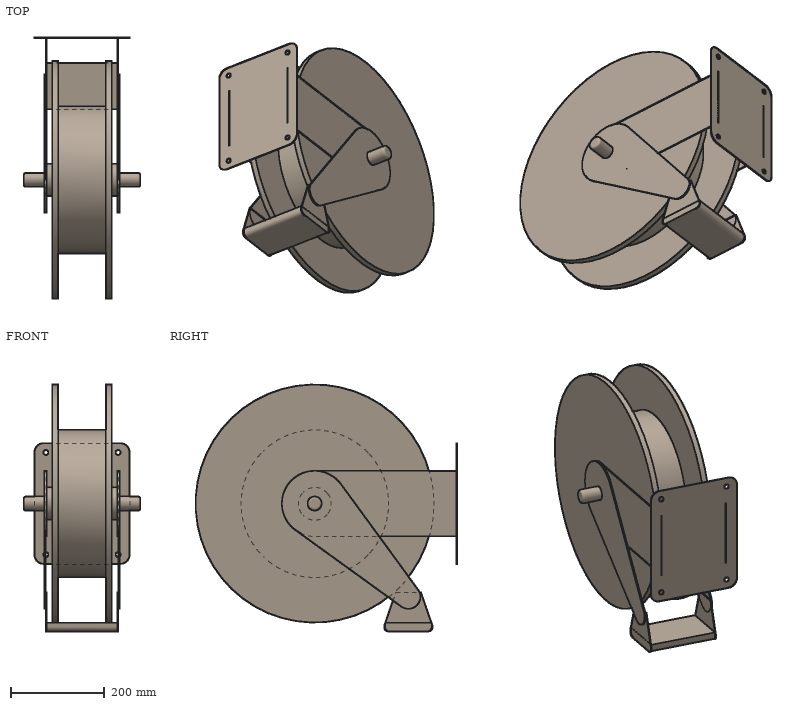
import cadquery as cq
import math

disc_diameter = 510.0
disc_thickness = 13.0
drum_diameter = 316.0
drum_width = 102.5
hub_diameter = 70.0

axle_diameter = 30.0
axle_length = 250.0
axle_end_radius = 5.0

sheet = 2.0
bracket_outer_x = 77.5
bracket_radius = 70.0

overall_depth = 560.5
plate_width = 204.0
plate_height = 259.0
plate_corner_radius = 20.0
hole_diameter = 10.0
hole_spacing_x = 154.5
hole_spacing_z = 218.5

arm_thickness = 3.0
arm_big_radius = bracket_radius
arm_small_radius = 26.0
arm_end_y = 200.5
arm_end_z = -199.5

overall_height = 529.0
foot_top_z = -189.5
foot_top_width = 54.0
foot_bottom_width = 112.0
foot_corner_radius = 10.0
foot_bar_depth = 100.0
foot_bar_height = 19.0

disc_radius = disc_diameter / 2
plate_back_y = overall_depth - disc_radius
plate_front_y = plate_back_y - sheet
foot_bottom_z = disc_radius - overall_height
bracket_inner_x = bracket_outer_x - sheet


def yz_plane(x):
    """Workplane at x whose local axes are Y and Z, extruding toward +X."""
    return cq.Workplane("YZ", origin=(x, 0, 0))


def centred_cylinder(diameter, length):
    return yz_plane(-length / 2).circle(diameter / 2).extrude(length)


def mirrored_pair(body):
    return body.union(body.mirror("YZ"))


def make_reel():
    disc = yz_plane(drum_width / 2).circle(disc_radius).extrude(disc_thickness)
    drum = centred_cylinder(drum_diameter, drum_width)
    hub = centred_cylinder(hub_diameter, 2 * bracket_inner_x)
    return drum.union(mirrored_pair(disc)).union(hub)


def make_axle():
    return centred_cylinder(axle_diameter, axle_length).faces("<X or >X").edges().fillet(axle_end_radius)


def make_wall_plate():
    plate = (
        cq.Workplane("XZ", origin=(0, plate_back_y, 0))
        .rect(plate_width, plate_height)
        .extrude(sheet)
        .edges("|Y")
        .fillet(plate_corner_radius)
    )
    return (
        plate.faces("<Y")
        .workplane(origin=(0, plate_front_y, 0))
        .rect(hole_spacing_x, hole_spacing_z, forConstruction=True)
        .vertices()
        .hole(hole_diameter)
    )


def make_bracket():
    return (
        yz_plane(bracket_inner_x)
        .moveTo(plate_front_y, bracket_radius)
        .lineTo(0, bracket_radius)
        .threePointArc((-bracket_radius, 0), (0, -bracket_radius))
        .lineTo(plate_front_y, -bracket_radius)
        .close()
        .extrude(sheet)
    )


def make_arm():
    """Outline of two arcs joined by their common outer tangents."""
    length = math.hypot(arm_end_y, arm_end_z)
    direction = math.atan2(arm_end_z, arm_end_y)
    tangent_angle = math.acos((arm_big_radius - arm_small_radius) / length)

    def on_big_end(angle):
        return (arm_big_radius * math.cos(angle), arm_big_radius * math.sin(angle))

    def on_small_end(angle):
        return (
            arm_end_y + arm_small_radius * math.cos(angle),
            arm_end_z + arm_small_radius * math.sin(angle),
        )

    upper = direction + tangent_angle
    lower = direction - tangent_angle
    return (
        yz_plane(bracket_outer_x)
        .moveTo(*on_big_end(upper))
        .threePointArc(on_big_end(direction + math.pi), on_big_end(lower))
        .lineTo(*on_small_end(lower))
        .threePointArc(on_small_end(direction), on_small_end(upper))
        .close()
        .extrude(arm_thickness)
    )


def make_foot_cheek():
    return (
        yz_plane(bracket_inner_x)
        .moveTo(arm_end_y - foot_top_width / 2, foot_top_z)
        .lineTo(arm_end_y + foot_top_width / 2, foot_top_z)
        .lineTo(arm_end_y + foot_bottom_width / 2, foot_bottom_z)
        .lineTo(arm_end_y - foot_bottom_width / 2, foot_bottom_z)
        .close()
        .extrude(sheet)
        .edges("|X and <Z")
        .fillet(foot_corner_radius)
    )


def make_foot_bar():
    """Bar spanning the cheeks, with rounded lower edges."""
    return (
        cq.Workplane("XY", origin=(0, arm_end_y, foot_bottom_z))
        .box(2 * bracket_outer_x, foot_bar_depth, foot_bar_height, centered=(True, True, False))
        .edges("|X and <Z")
        .fillet(foot_corner_radius)
    )


result = (
    make_reel()
    .union(make_axle())
    .union(make_wall_plate())
    .union(mirrored_pair(make_bracket()))
    .union(mirrored_pair(make_arm()))
    .union(mirrored_pair(make_foot_cheek()))
    .union(make_foot_bar())
)